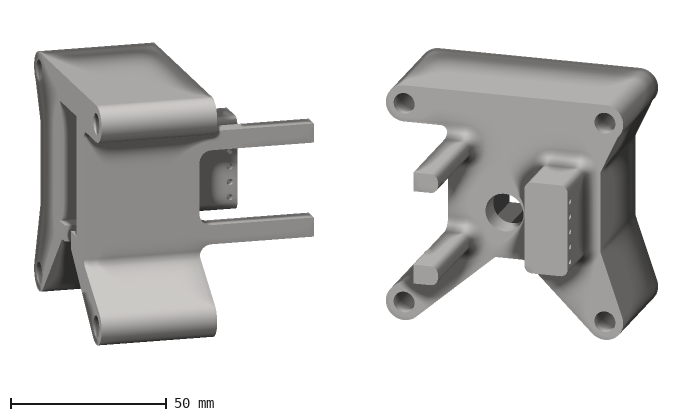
import cadquery as cq
import math

side = 79.55
body_depth = 38.5
lug_radius = 6.1
lug_offset = side / 2 - lug_radius
lug_hole_diameter = 7.0
corner_radius = 2.5

left_edge = -32.1
left_edge_top = 16.8
left_edge_bottom = -10.1
right_edge = 18.9
right_edge_bottom = -16.8
bottom_edge = -15.35
bottom_edge_left = -6.8
bottom_edge_right = 3.1

pocket_width = 20.0
pocket_top = 30.0
pocket_bottom = -10.0
pocket_depth = 30.0
slot_depth = 25.0
slot_width = 7.0
opening_diameter = 12.7

flare_radius = 4.0
total_depth = 76.6
post_length = total_depth - body_depth
post_left = 10.7
post_height = 6.4
post_centers_z = (21.0, -10.3)
block_length = 21.7
block_left = -27.75
block_right = -13.3
block_top = 18.85
block_bottom = -11.9
pin_hole_diameter = 2.0
pin_hole_count = 5
pin_hole_pitch = 5.1
pin_hole_end_gap = 2.55
pin_hole_center_z = 2.7


def tangent_point(center, start, turn):
    """Point where the line from start touches the lug; turn is +1 or -1 for the side."""
    dx = start[0] - center[0]
    dz = start[1] - center[1]
    angle = math.atan2(dz, dx) + turn * math.acos(lug_radius / math.hypot(dx, dz))
    return (center[0] + lug_radius * math.cos(angle), center[1] + lug_radius * math.sin(angle))


def prism(x_min, x_max, z_min, z_max, y_min, y_max):
    size = (x_max - x_min, y_max - y_min, z_max - z_min)
    return cq.Workplane("XY").box(*size, centered=False).translate((x_min, y_min, z_min))


def outline_solid(depth):
    """The four-lug outline, extruded from the front face."""
    upper_left = (-lug_offset, lug_offset)
    lower_left = (-lug_offset, -lug_offset)
    lower_right = (lug_offset, -lug_offset)
    arm_bottom = lug_offset - lug_radius
    diagonal = lug_radius * math.sqrt(0.5)

    left_upper_corner = (left_edge, left_edge_top)
    left_lower_corner = (left_edge, left_edge_bottom)
    bottom_left_corner = (bottom_edge_left, bottom_edge)
    bottom_right_corner = (bottom_edge_right, bottom_edge)
    right_lower_corner = (right_edge, right_edge_bottom)
    right_upper_corner = (right_edge, arm_bottom)
    web_points = [
        (-lug_offset, side / 2),
        (lug_offset, side / 2),
        (lug_offset, arm_bottom),
        right_upper_corner,
        right_lower_corner,
        tangent_point(lower_right, right_lower_corner, -1),
        tangent_point(lower_right, bottom_right_corner, 1),
        bottom_right_corner,
        bottom_left_corner,
        tangent_point(lower_left, bottom_left_corner, -1),
        tangent_point(lower_left, left_lower_corner, 1),
        left_lower_corner,
        left_upper_corner,
        (upper_left[0] - diagonal, upper_left[1] - diagonal),
    ]
    solid = cq.Workplane("XZ").polyline(web_points).close().extrude(-depth)
    rounded_corners = (
        left_upper_corner,
        left_lower_corner,
        bottom_left_corner,
        right_lower_corner,
        right_upper_corner,
    )
    for x, z in rounded_corners:
        corner_edge = cq.selectors.NearestToPointSelector((x, depth / 2, z))
        solid = solid.edges("|Y").edges(corner_edge).fillet(corner_radius)
    lugs = (
        cq.Workplane("XZ")
        .rect(2 * lug_offset, 2 * lug_offset, forConstruction=True)
        .vertices()
        .circle(lug_radius)
        .extrude(-depth)
    )
    return solid.union(lugs)


def flared_bar(x_min, x_max, z_min, z_max, length):
    """Bar on the rear face with rounded long edges and a concave flare at its root."""
    margin = 2 * flare_radius
    base = prism(x_min - margin, x_max + margin, z_min - margin, z_max + margin, 0, body_depth)
    bar = prism(x_min, x_max, z_min, z_max, body_depth, body_depth + length)
    bar = bar.edges("|Y").fillet(corner_radius)
    gap = flare_radius / 5
    root_zone = cq.selectors.BoxSelector(
        (x_min - gap, body_depth - gap, z_min - gap),
        (x_max + gap, body_depth + gap, z_max + gap),
    )
    flared = base.union(bar).edges(root_zone).fillet(flare_radius)
    return flared.cut(base)


def post(center_z):
    """Long post; it overshoots the right edge, where the outline trims it flat."""
    overshoot = 3 * flare_radius
    return flared_bar(
        post_left,
        right_edge + overshoot,
        center_z - post_height / 2,
        center_z + post_height / 2,
        post_length,
    )


def pin_block():
    """Short block with a column of cross holes near its free end."""
    block = flared_bar(block_left, block_right, block_bottom, block_top, block_length)
    hole_y = body_depth + block_length - pin_hole_end_gap
    holes = (
        cq.Workplane("YZ", origin=(block_left, hole_y, pin_hole_center_z))
        .rarray(0.8, pin_hole_pitch, 1, pin_hole_count)
        .circle(pin_hole_diameter / 2)
        .extrude(block_right - block_left)
    )
    return block.cut(holes)


def front_cutouts():
    pocket = prism(-pocket_width / 2, pocket_width / 2, pocket_bottom, pocket_top, 0, pocket_depth)
    slot = prism(-slot_width / 2, slot_width / 2, -side / 2, pocket_bottom, 0, slot_depth)
    opening = cq.Workplane("XZ").circle(opening_diameter / 2).extrude(-body_depth)
    lug_holes = (
        cq.Workplane("XZ")
        .rect(2 * lug_offset, 2 * lug_offset, forConstruction=True)
        .vertices()
        .circle(lug_hole_diameter / 2)
        .extrude(-body_depth)
    )
    return pocket.union(slot).union(opening).union(lug_holes)


body = outline_solid(body_depth)
trim = outline_solid(total_depth)
for post_z in post_centers_z:
    body = body.union(post(post_z).intersect(trim))
body = body.union(pin_block())
result = body.cut(front_cutouts())